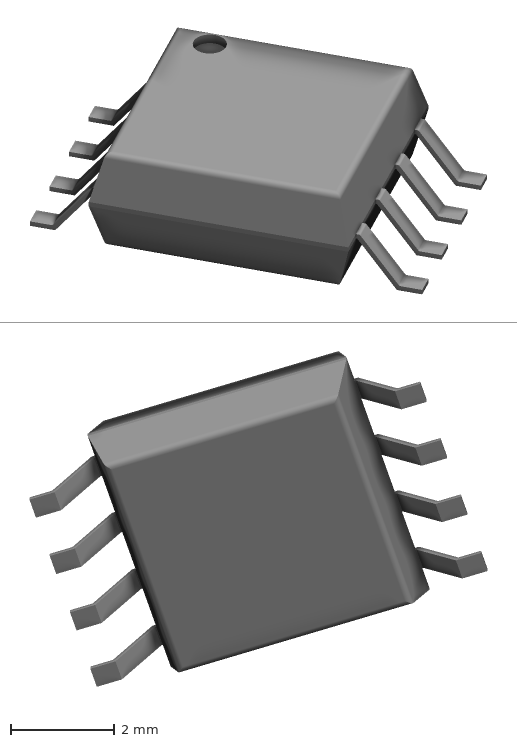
import cadquery as cq
import math

span = 7.98

body_length = 5.28
body_width = 5.19
body_height = 2.16
belt_height = 0.1
belt_bottom = 1.04
belt_top = belt_bottom + belt_height
draft_angle = 14.5
rim_radius = 0.135

leads_per_side = 4
lead_pitch = 1.27
lead_width = 0.41
lead_thickness = belt_height
foot_length = 0.46
shoulder_length = 0.08
bend_radius = 0.05

marker_diameter = 0.66
marker_depth = 0.2
marker_x = -1.59

lead_row_end = lead_pitch * (leads_per_side - 1) / 2


def make_drafted_half(height):
    """Half body standing on the XY plane, tapering upward to a rounded rim."""
    return (
        cq.Workplane("XY")
        .rect(body_length, body_width)
        .extrude(height, taper=draft_angle)
        .faces(">Z")
        .edges()
        .fillet(rim_radius)
    )


def make_body():
    """Belt joined to its two drafted halves, with the pin 1 marker sunk in the top face."""
    belt = (
        cq.Workplane("XY")
        .workplane(offset=belt_bottom)
        .rect(body_length, body_width)
        .extrude(belt_height)
    )
    upper_half = make_drafted_half(body_height - belt_top).translate((0, 0, belt_top))
    lower_half = make_drafted_half(belt_bottom).mirror("XY").translate((0, 0, belt_bottom))
    marker = (
        cq.Workplane("XY")
        .workplane(offset=body_height - marker_depth)
        .center(marker_x, lead_row_end)
        .circle(marker_diameter / 2)
        .extrude(marker_depth)
    )
    return belt.union(upper_half).union(lower_half).cut(marker)


def make_left_lead(y):
    """Gull-wing lead centred on y, from its foot tip to the left face of the belt."""
    tip_x = -span / 2
    body_x = -body_length / 2
    heel_x = tip_x + foot_length
    shoulder_x = body_x - shoulder_length
    leg_angle = math.atan2(belt_top - lead_thickness, shoulder_x - heel_x)
    corner_shift = lead_thickness * math.tan(leg_angle / 2)

    profile = [
        (tip_x, 0),
        (heel_x + corner_shift, 0),
        (shoulder_x + corner_shift, belt_top - lead_thickness),
        (body_x, belt_top - lead_thickness),
        (body_x, belt_top),
        (shoulder_x, belt_top),
        (heel_x, lead_thickness),
        (tip_x, lead_thickness),
    ]
    strip = (
        cq.Workplane("XZ", origin=(0, y + lead_width / 2, 0))
        .polyline(profile)
        .close()
        .extrude(lead_width)
    )
    shoulder_edge = cq.selectors.NearestToPointSelector((shoulder_x, y, belt_top))
    heel_edge = cq.selectors.NearestToPointSelector((heel_x, y, lead_thickness))
    strip = strip.edges("|Y").edges(shoulder_edge).fillet(bend_radius)
    return strip.edges("|Y").edges(heel_edge).fillet(bend_radius)


body = make_body()

leads = []
for index in range(leads_per_side):
    left_lead = make_left_lead(lead_row_end - index * lead_pitch)
    right_lead = left_lead.mirror("YZ")
    leads.append(left_lead.val())
    leads.append(right_lead.val())

result = cq.Compound.makeCompound([body.val(), *leads])